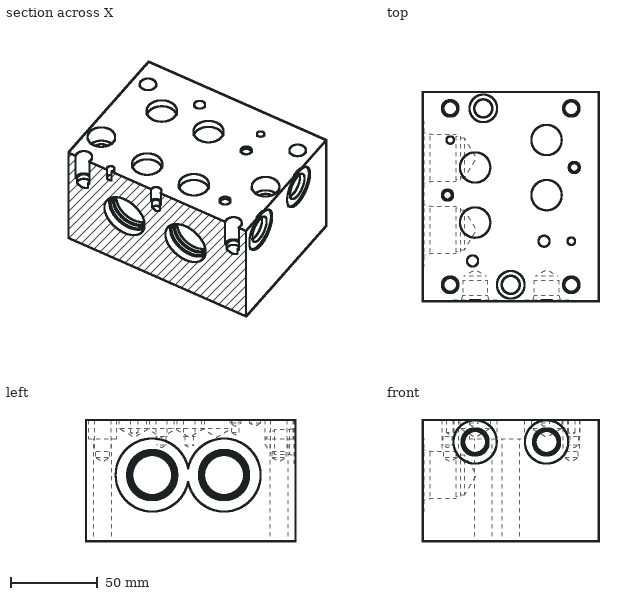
import cadquery as cq
import math

LENGTH_X = 101.6
LENGTH_Y = 120.6
HEIGHT = 69.9
DRILL_POINT_ANGLE = 118.0

BOLT_EDGE_X = 15.9
BOLT_EDGE_Y = 9.5
BOLT_X = (BOLT_EDGE_X, LENGTH_X - BOLT_EDGE_X)
BOLT_Y = (BOLT_EDGE_Y, LENGTH_Y - BOLT_EDGE_Y)
BOLT_THREAD_DIAMETER = 9.5
BOLT_THREAD_DEPTH = 18.1
BOLT_DRILL_DIAMETER = 8.0
BOLT_DRILL_DEPTH = 21.7

THROUGH_POINTS = ((35.0, BOLT_Y[1]), (LENGTH_X / 2, BOLT_Y[0]))
THROUGH_DIAMETER = 10.3
COUNTERBORE_DIAMETER = 15.9
COUNTERBORE_DEPTH = 10.9

PORT_X = (30.3, 71.4)
PASSAGE_POINTS = ((PORT_X[0], 45.4), (PORT_X[0], 77.1), (PORT_X[1], 61.2), (PORT_X[1], 92.9))
PASSAGE_DIAMETER = 17.5
PASSAGE_DEPTH = 4.8
PILOT_POINTS = ((28.8, 23.3), (70.0, 34.6))
PILOT_DIAMETER = 6.4
PILOT_DEPTH = 1.8

DRAIN_POINTS = ((14.4, 61.2), (87.4, 77.1))
DRAIN_DIAMETER = 6.4
DRAIN_DEPTH = 9.7
DRAIN_DRILL_DIAMETER = 5.1
DRAIN_DRILL_DEPTH = 14.5
PIN_POINTS = ((BOLT_X[0], 92.9), (BOLT_X[1], 34.6))
PIN_DIAMETER = 4.3
PIN_DEPTH = 7.2

SPOT_FACE_DEPTH = 0.8
SMALL_SPOT_FACE_DIAMETER = 25.0
SMALL_PORT_DROP = 12.7
SMALL_PORT_Z = HEIGHT - SMALL_PORT_DROP
SMALL_PORT_STEPS = ((15.7, 14.5, 3.5), (14.2, 14.2, 12.1), (12.7, 12.7, 14.5))
LARGE_SPOT_FACE_DIAMETER = 42.1
LARGE_PORT_Y = (41.1, 82.5)
LARGE_PORT_Z = 38.1
LARGE_PORT_STEPS = ((29.0, 27.4, 4.2), (27.0, 27.0, 19.3), (25.0, 25.0, 21.7), (23.0, 23.0, 24.1))


def revolved_cutter(steps):
    """Hole along -Z from the origin: (outer diameter, inner diameter, end depth) steps, then a drill point."""
    profile = [(0, 0)]
    start_depth = 0
    for outer_diameter, inner_diameter, end_depth in steps:
        profile.append((outer_diameter / 2, -start_depth))
        profile.append((inner_diameter / 2, -end_depth))
        start_depth = end_depth
    last_radius = profile[-1][0]
    point_length = last_radius / math.tan(math.radians(DRILL_POINT_ANGLE / 2))
    profile.append((0, -start_depth - point_length))
    return cq.Workplane("XZ").polyline(profile).close().revolve(360, (0, 0), (0, 1))


def drill_top(body, points, steps):
    """Sink a drilled hole into the top face at each (x, y) point."""
    cutter = revolved_cutter(steps)
    for x, y in points:
        body = body.cut(cutter.translate((x, y, HEIGHT)))
    return body


def port_cutter(spot_face_diameter, steps):
    """Cutter for a threaded port, opening at the origin and running along -Z."""
    spot_face = (spot_face_diameter, spot_face_diameter, SPOT_FACE_DEPTH)
    return revolved_cutter((spot_face,) + steps)


result = cq.Workplane("XY").box(LENGTH_X, LENGTH_Y, HEIGHT, centered=False)

bolt_points = [(x, y) for x in BOLT_X for y in BOLT_Y]
bolt_steps = (
    (BOLT_THREAD_DIAMETER, BOLT_THREAD_DIAMETER, BOLT_THREAD_DEPTH),
    (BOLT_DRILL_DIAMETER, BOLT_DRILL_DIAMETER, BOLT_DRILL_DEPTH),
)
result = drill_top(result, bolt_points, bolt_steps)

result = (
    result.faces(">Z")
    .workplane(origin=(0, 0, HEIGHT))
    .pushPoints(THROUGH_POINTS)
    .cboreHole(THROUGH_DIAMETER, COUNTERBORE_DIAMETER, COUNTERBORE_DEPTH)
)

drain_steps = (
    (DRAIN_DIAMETER, DRAIN_DIAMETER, DRAIN_DEPTH),
    (DRAIN_DRILL_DIAMETER, DRAIN_DRILL_DIAMETER, DRAIN_DRILL_DEPTH),
)
result = drill_top(result, PASSAGE_POINTS, ((PASSAGE_DIAMETER, PASSAGE_DIAMETER, PASSAGE_DEPTH),))
result = drill_top(result, PILOT_POINTS, ((PILOT_DIAMETER, PILOT_DIAMETER, PILOT_DEPTH),))
result = drill_top(result, DRAIN_POINTS, drain_steps)
result = drill_top(result, PIN_POINTS, ((PIN_DIAMETER, PIN_DIAMETER, PIN_DEPTH),))

small_port = port_cutter(SMALL_SPOT_FACE_DIAMETER, SMALL_PORT_STEPS).rotate((0, 0, 0), (1, 0, 0), 90)
for x in PORT_X:
    result = result.cut(small_port.translate((x, 0, SMALL_PORT_Z)))

large_port = port_cutter(LARGE_SPOT_FACE_DIAMETER, LARGE_PORT_STEPS).rotate((0, 0, 0), (0, 1, 0), -90)
for y in LARGE_PORT_Y:
    result = result.cut(large_port.translate((0, y, LARGE_PORT_Z)))